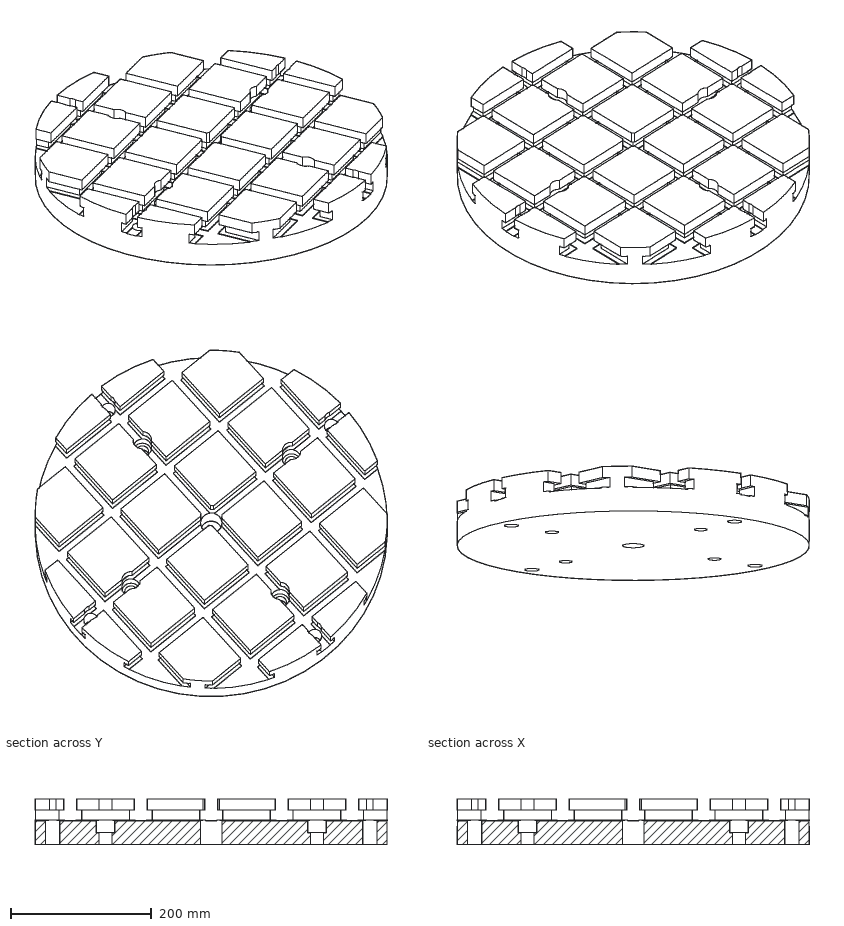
import cadquery as cq

plate_diameter = 500.0
plate_height = 65.0

slot_pitch = 100.0
slots_each_side = 2
slot_width = 18.0
undercut_width = 32.0
relief_width = 16.0
undercut_height = 14.0
undercut_floor_depth = 30.0
undercut_top_depth = undercut_floor_depth - undercut_height
relief_step = 1.0
relief_depth = undercut_floor_depth + relief_step

centre_bore_diameter = 30.0
outer_hole_diameter = 20.0
outer_hole_radius = 225.0
bolt_hole_diameter = 18.0
bolt_head_diameter = 26.0
bolt_circle_radius = 150.0
bolt_head_height = 17.0
bolt_head_depth = relief_depth + bolt_head_height


def make_plate():
    return cq.Workplane("XY").circle(plate_diameter / 2).extrude(plate_height)


def channel(width, top_depth, bottom_depth):
    """Straight channel along Y through the whole plate, centred on X = 0."""
    return (
        cq.Workplane("XY", origin=(0, 0, plate_height - bottom_depth))
        .rect(width, plate_diameter)
        .extrude(bottom_depth - top_depth)
    )


def make_t_slot():
    """T-slot with a narrow opening, a wide undercut and a relief groove in its floor."""
    opening = channel(slot_width, 0, undercut_top_depth)
    undercut = channel(undercut_width, undercut_top_depth, undercut_floor_depth)
    relief = channel(relief_width, undercut_floor_depth, relief_depth)
    return opening.union(undercut).union(relief)


def cut_t_slots(body):
    slot = make_t_slot()
    cross_slot = slot.rotate((0, 0, 0), (0, 0, 1), 90)
    for index in range(-slots_each_side, slots_each_side + 1):
        offset = index * slot_pitch
        body = body.cut(slot.translate((offset, 0, 0)))
        body = body.cut(cross_slot.translate((0, offset, 0)))
    return body


def clear_outer_corners(body):
    """Remove the small islands beyond the outermost slots, flat at the relief depth.

    Each island lies beyond the outermost slot in one direction and beyond
    the next slot in the other; the cut starts at the near relief edges.
    """
    outer_start = slots_each_side * slot_pitch - relief_width / 2
    inner_start = outer_start - slot_pitch
    plate_radius = plate_diameter / 2
    for start_x, start_y in [(inner_start, outer_start), (outer_start, inner_start)]:
        size_x = plate_radius - start_x
        size_y = plate_radius - start_y
        corner = cq.Workplane("XY", origin=(start_x, start_y, plate_height - relief_depth)).box(
            size_x, size_y, relief_depth, centered=False
        )
        for mirrored in (corner, corner.mirror("YZ")):
            body = body.cut(mirrored).cut(mirrored.mirror("XZ"))
    return body


def cut_round(body, diameter, depth, points):
    """Cut vertical cylinders from the top face down to the given depth."""
    cutter = (
        cq.Workplane("XY", origin=(0, 0, plate_height))
        .pushPoints(points)
        .circle(diameter / 2)
        .extrude(-depth)
    )
    return body.cut(cutter)


def on_axes(radius):
    """Four points at one radius, on the +X, -X, +Y and -Y axes."""
    return [(radius, 0), (-radius, 0), (0, radius), (0, -radius)]


def cut_holes(body):
    body = cut_round(body, centre_bore_diameter, plate_height, [(0, 0)])
    body = cut_round(body, outer_hole_diameter, plate_height, on_axes(outer_hole_radius))
    body = cut_round(body, bolt_hole_diameter, plate_height, on_axes(bolt_circle_radius))
    return cut_round(body, bolt_head_diameter, bolt_head_depth, on_axes(bolt_circle_radius))


slotted_plate = clear_outer_corners(cut_t_slots(make_plate()))
result = cut_holes(slotted_plate)